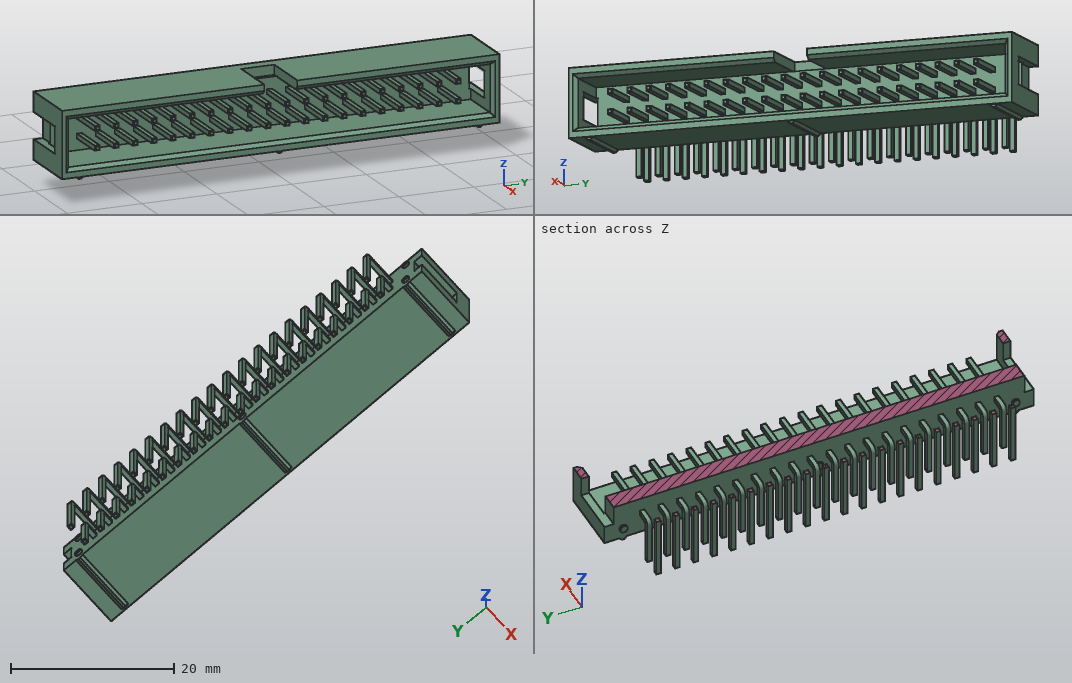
import cadquery as cq


BODY_DEPTH = 8.8
BODY_LENGTH = 58.46
BODY_HEIGHT = 8.8

CAVITY_FLOOR_X = 2.35
SIDE_WALL = 1.3
END_WALL = 1.05
LEAD_IN = 0.5

NOTCH_WIDTH = 4.4
NOTCH_START_X = 1.73

SLOT_HEIGHT = 3.5
SLOT_END_X = 6.5
SLOT_REAR_DEPTH = 1.25

PITCH = 2.54
COLUMNS = 20
PIN_WIDTH = 0.64
PIN_REACH = 4.75
PIN_FRONT_X = 7.95
BEND_INNER_RADIUS = 0.1
PIN_TIP_CHAMFER = 0.12
OVERALL_HEIGHT = 12.1

STANDOFF_DIAMETER = 1.0
STANDOFF_HEIGHT = 0.3
STANDOFF_SPACING_Y = 26.7
STANDOFF_OFFSET_Z = 2.86

RIB_LENGTH = 8.45
RIB_WIDTH = 1.1
RIB_TIP_WIDTH = 0.3
RIB_HEIGHT = 0.35

BODY_TOP_Z = BODY_HEIGHT / 2
BODY_BOTTOM_Z = -BODY_HEIGHT / 2
TAIL_END_Z = BODY_TOP_Z - OVERALL_HEIGHT
STANDOFF_YS = (-STANDOFF_SPACING_Y, 0, STANDOFF_SPACING_Y)


def box(x_min, x_max, y_min, y_max, z_min, z_max):
    """Axis-aligned box given by its limits."""
    size = (x_max - x_min, y_max - y_min, z_max - z_min)
    return cq.Workplane("XY").box(*size, centered=False).translate((x_min, y_min, z_min))


def make_cavity():
    """Rectangular cavity with a 45 degree lead-in around its mouth."""
    length = BODY_LENGTH - 2 * END_WALL
    height = BODY_HEIGHT - 2 * SIDE_WALL
    pocket = box(CAVITY_FLOOR_X, BODY_DEPTH, -length / 2, length / 2, -height / 2, height / 2)
    lead_in = (
        cq.Workplane("YZ", origin=(BODY_DEPTH - LEAD_IN, 0, 0))
        .rect(length, height)
        .workplane(offset=LEAD_IN)
        .rect(length + 2 * LEAD_IN, height + 2 * LEAD_IN)
        .loft(ruled=True)
    )
    return pocket.union(lead_in)


def make_notch():
    """Polarising notch through the top wall, open towards +X."""
    half_width = NOTCH_WIDTH / 2
    return box(NOTCH_START_X, BODY_DEPTH, -half_width, half_width, BODY_TOP_Z - SIDE_WALL, BODY_TOP_Z)


def make_end_slot():
    """Slot at the -Y end: blind behind the cavity floor, through the wall in front of it."""
    outer_y = -BODY_LENGTH / 2
    half_height = SLOT_HEIGHT / 2
    rear = box(0, CAVITY_FLOOR_X, outer_y, outer_y + SLOT_REAR_DEPTH, -half_height, half_height)
    window = box(CAVITY_FLOOR_X, SLOT_END_X, outer_y, outer_y + END_WALL, -half_height, half_height)
    return rear.union(window)


def make_housing():
    half_length = BODY_LENGTH / 2
    housing = box(0, BODY_DEPTH, -half_length, half_length, BODY_BOTTOM_Z, BODY_TOP_Z)
    slot = make_end_slot()
    return housing.cut(make_cavity()).cut(make_notch()).cut(slot).cut(slot.mirror("XZ"))


def make_rear_standoffs():
    """Round stand-offs on the rear face, in two rows."""
    points = [(y, z) for y in STANDOFF_YS for z in (-STANDOFF_OFFSET_Z, STANDOFF_OFFSET_Z)]
    return cq.Workplane("YZ").pushPoints(points).circle(STANDOFF_DIAMETER / 2).extrude(-STANDOFF_HEIGHT)


def make_bottom_rib(y):
    """Flat-tipped rib with sloping flanks that runs along X under the housing."""
    half_width = RIB_WIDTH / 2
    tip_half_width = RIB_TIP_WIDTH / 2
    corners = [
        (y - half_width, BODY_BOTTOM_Z),
        (y - tip_half_width, BODY_BOTTOM_Z - RIB_HEIGHT),
        (y + tip_half_width, BODY_BOTTOM_Z - RIB_HEIGHT),
        (y + half_width, BODY_BOTTOM_Z),
    ]
    return cq.Workplane("YZ").polyline(corners).close().extrude(RIB_LENGTH)


def make_pin(tail_x, row_z):
    """Square pin at Y = 0, bent down behind the housing, with both tips chamfered."""
    half_width = PIN_WIDTH / 2
    contact = box(
        tail_x - half_width, PIN_FRONT_X, -half_width, half_width, row_z - half_width, row_z + half_width
    )
    tail = box(
        tail_x - half_width, tail_x + half_width, -half_width, half_width, TAIL_END_Z, row_z + half_width
    )
    contact = contact.faces(">X").chamfer(PIN_TIP_CHAMFER)
    tail = tail.faces("<Z").chamfer(PIN_TIP_CHAMFER)
    outer_corner = cq.selectors.NearestToPointSelector((tail_x - half_width, 0, row_z + half_width))
    inner_corner = cq.selectors.NearestToPointSelector((tail_x + half_width, 0, row_z - half_width))
    return (
        contact.union(tail)
        .edges(outer_corner)
        .fillet(BEND_INNER_RADIUS + PIN_WIDTH)
        .edges(inner_corner)
        .fillet(BEND_INNER_RADIUS)
    )


def make_pins():
    """Upper and lower pin rows; the upper row has its tails farther from the housing."""
    upper_tail_x = -PIN_REACH + PIN_WIDTH / 2
    upper_pin = make_pin(upper_tail_x, PITCH / 2)
    lower_pin = make_pin(upper_tail_x + PITCH, -PITCH / 2)
    pins = []
    for column in range(COLUMNS):
        y = (column - (COLUMNS - 1) / 2) * PITCH
        pins.append(upper_pin.val().translate(cq.Vector(0, y, 0)))
        pins.append(lower_pin.val().translate(cq.Vector(0, y, 0)))
    return pins


shell = make_housing().union(make_rear_standoffs())
for rib_y in STANDOFF_YS:
    shell = shell.union(make_bottom_rib(rib_y))
result = cq.Workplane(shell.val().fuse(*make_pins()))